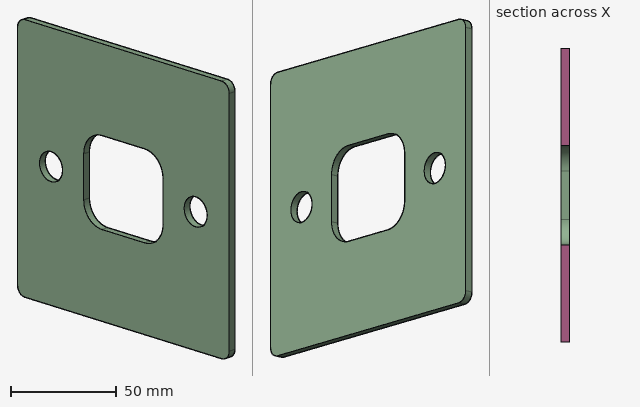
import cadquery as cq

plate_side = 139.0
plate_thickness = 4.0
plate_corner_radius = 5.0

window_width = 52.0
window_height = 47.0
window_corner_radius = 12.0

hole_diameter = 15.0
hole_spacing = 95.0


def rounded_block(width, height, corner_radius):
    """Block through the plate thickness, centred on the origin, with rounded corners."""
    block = cq.Workplane("XY").box(width, plate_thickness, height)
    return block.edges("|Y").fillet(corner_radius)


plate = rounded_block(plate_side, plate_side, plate_corner_radius)
window = rounded_block(window_width, window_height, window_corner_radius)

side_holes = (
    cq.Workplane("XZ", origin=(0, plate_thickness / 2, 0))
    .pushPoints([(-hole_spacing / 2, 0), (hole_spacing / 2, 0)])
    .circle(hole_diameter / 2)
    .extrude(plate_thickness)
)

result = plate.cut(window).cut(side_holes)